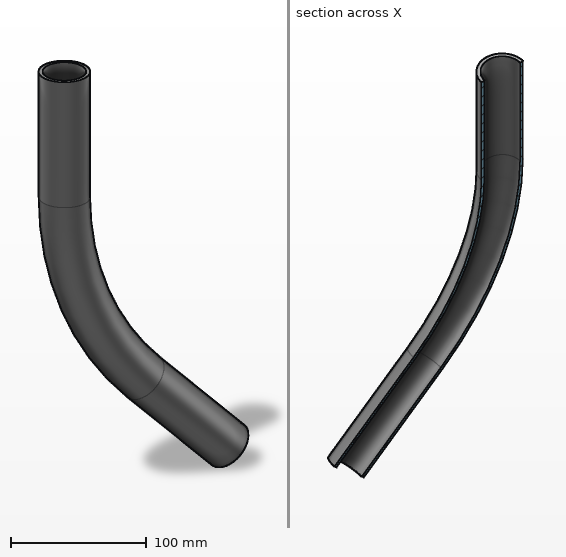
import cadquery as cq
import math

outer_diameter = 38.1
inner_diameter = 32.0

leg_length = 101.6
bend_radius = 228.6
bend_angle = 45.0


def bend_point(angle):
    """Centreline (Y, Z) after turning by angle degrees from straight down towards +Y."""
    turn = math.radians(angle)
    return (bend_radius * (1 - math.cos(turn)), -bend_radius * math.sin(turn))


def make_centreline():
    """Path from the top of the upright leg to the end of the inclined leg."""
    bend_middle = bend_point(bend_angle / 2)
    bend_end = bend_point(bend_angle)
    turn = math.radians(bend_angle)
    lower_end = (
        bend_end[0] + leg_length * math.sin(turn),
        bend_end[1] - leg_length * math.cos(turn),
    )
    return (
        cq.Workplane("YZ")
        .moveTo(0, leg_length)
        .lineTo(0, 0)
        .threePointArc(bend_middle, bend_end)
        .lineTo(*lower_end)
    )


def make_tube():
    """Ring section swept along the centreline, open at both ends."""
    return (
        cq.Workplane("XY", origin=(0, 0, leg_length))
        .circle(outer_diameter / 2)
        .circle(inner_diameter / 2)
        .sweep(make_centreline())
    )


result = make_tube()